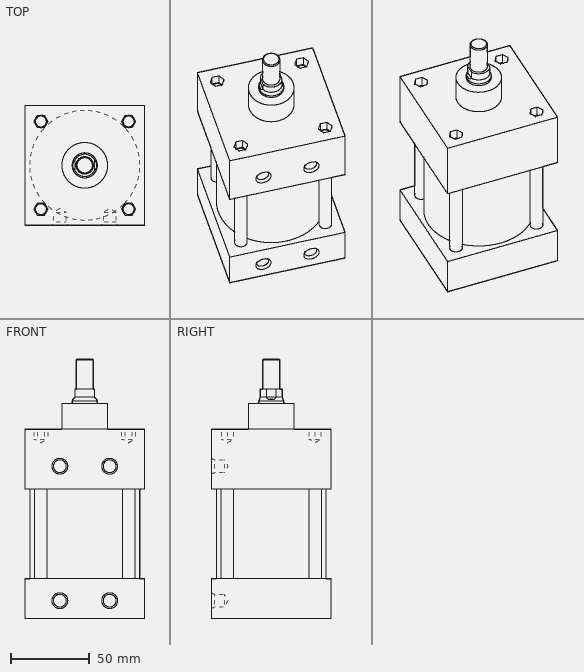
import cadquery as cq
import math

total_height = 165.1

block_side = 76.3
base_height = 25.5
head_height = 38.1
head_top = 120.5
head_bottom = head_top - head_height

barrel_diameter = 70.0
tie_rod_diameter = 8.1
tie_rod_offset = 27.9

drill_angle = 118.0

socket_across_flats = 7.8
socket_depth = 6.6
socket_cone_diameter = 7.0

port_offset = 15.8
base_port_height = 11.4
head_port_height = 96.9
port_diameter = 8.1
port_mouth_diameter = 10.0
port_taper_depth = 2.0
port_depth = 8.3

neck_diameter = 29.0
neck_top = 136.9

collar_diameter = 16.0
collar_top = 138.4
wrench_diameter = 14.2
wrench_bottom = 140.8
wrench_top = 146.0
wrench_across_flats = 12.7
flat_runout_width = 1.2
flat_runout_height = 1.5
thread_diameter = 11.0
thread_chamfer = 0.7


def disc(diameter, bottom, top):
    """Upright cylinder on the Z axis between two heights."""
    return cq.Workplane("XY").workplane(offset=bottom).circle(diameter / 2).extrude(top - bottom)


def end_block(bottom, height):
    """Square block standing on the given height."""
    return (
        cq.Workplane("XY")
        .workplane(offset=bottom)
        .rect(block_side, block_side)
        .extrude(height)
    )


def drill_point_depth(diameter):
    """Height of the conical floor left by a drill of the given diameter."""
    return diameter / 2 / math.tan(math.radians(drill_angle / 2))


def tie_rod_points(workplane):
    """Centres of the four tie rods."""
    return workplane.rect(2 * tie_rod_offset, 2 * tie_rod_offset, forConstruction=True).vertices()


def hex_sockets():
    """Four hexagon sockets with conical floors, as cutting tools."""
    across_corners = socket_across_flats / math.cos(math.pi / 6)
    tip_depth = socket_depth + drill_point_depth(socket_cone_diameter)
    cone = (
        cq.Workplane("XZ")
        .moveTo(0, -socket_depth)
        .lineTo(socket_cone_diameter / 2, -socket_depth)
        .lineTo(0, -tip_depth)
        .close()
        .revolve()
    )
    socket = cq.Workplane("XY").polygon(6, across_corners).extrude(-socket_depth).union(cone).val()
    top_face = cq.Workplane("XY").workplane(offset=head_top)
    return tie_rod_points(top_face).eachpoint(lambda place: socket.moved(place), combine=False)


def port(x, z):
    """One drilled port with a tapered mouth, entering the -Y face, as a cutting tool."""
    tip_depth = port_depth + drill_point_depth(port_diameter)
    return (
        cq.Workplane("XY")
        .lineTo(port_mouth_diameter / 2, 0)
        .lineTo(port_diameter / 2, port_taper_depth)
        .lineTo(port_diameter / 2, port_depth)
        .lineTo(0, tip_depth)
        .close()
        .revolve(360, (0, 0), (0, 1))
        .translate((x, -block_side / 2, z))
    )


def build_housing():
    """End blocks, barrel, tie rods and neck as one solid."""
    tie_rod_plane = cq.Workplane("XY").workplane(offset=base_height)
    tie_rods = tie_rod_points(tie_rod_plane).circle(tie_rod_diameter / 2).extrude(head_bottom - base_height)
    body = (
        end_block(0, base_height)
        .union(disc(barrel_diameter, base_height, head_bottom))
        .union(tie_rods)
        .union(end_block(head_bottom, head_height))
        .union(disc(neck_diameter, head_top, neck_top))
        .cut(hex_sockets())
    )
    for z in (base_port_height, head_port_height):
        for x in (-port_offset, port_offset):
            body = body.cut(port(x, z))
    return body


def wrench_flat_cutter():
    """Material removed beside the +X wrench flat, with a sloped run-out at its lower end."""
    flat_x = wrench_across_flats / 2
    outer_x = flat_x + flat_runout_width
    return (
        cq.Workplane("XZ")
        .moveTo(flat_x, wrench_top)
        .lineTo(flat_x, wrench_bottom)
        .lineTo(outer_x, wrench_bottom - flat_runout_height)
        .lineTo(outer_x, wrench_top)
        .close()
        .extrude(wrench_diameter / 2, both=True)
    )


def build_piston_rod():
    """Stepped rod standing on the neck, with two opposite wrench flats."""
    rod = (
        cq.Workplane("XZ")
        .moveTo(0, neck_top)
        .lineTo(collar_diameter / 2, neck_top)
        .lineTo(collar_diameter / 2, collar_top)
        .lineTo(wrench_diameter / 2, wrench_bottom)
        .lineTo(wrench_diameter / 2, wrench_top)
        .lineTo(thread_diameter / 2, wrench_top)
        .lineTo(thread_diameter / 2, total_height - thread_chamfer)
        .lineTo(thread_diameter / 2 - thread_chamfer, total_height)
        .lineTo(0, total_height)
        .close()
        .revolve()
    )
    flat_cutter = wrench_flat_cutter()
    return rod.cut(flat_cutter).cut(flat_cutter.mirror("YZ"))


housing = build_housing()
piston_rod = build_piston_rod()

result = cq.Compound.makeCompound([*housing.solids().vals(), *piston_rod.solids().vals()])